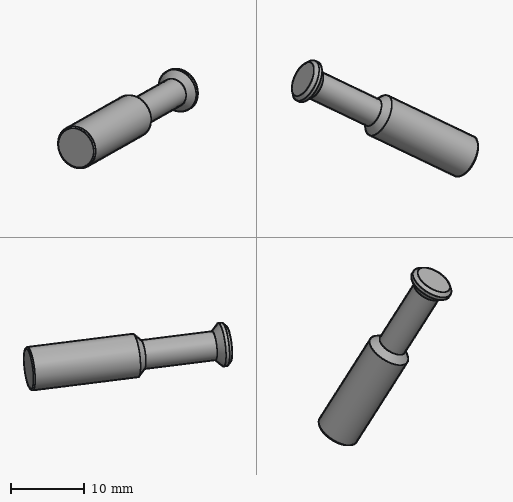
import cadquery as cq

body_diameter = 6.0
neck_diameter = 4.0
body_length = 15.0
neck_length = 10.0
overall_length = 28.0

body_end_chamfer = 0.2
head_end_chamfer = 0.5

body_radius = body_diameter / 2
neck_radius = neck_diameter / 2
shoulder_length = body_radius - neck_radius

neck_start = body_length + shoulder_length
neck_end = neck_start + neck_length
head_start = neck_end + shoulder_length


def make_pin():
    """Revolve the half profile (radius along X) around the Y axis."""
    profile = [
        (0, 0),
        (body_radius - body_end_chamfer, 0),
        (body_radius, body_end_chamfer),
        (body_radius, body_length),
        (neck_radius, neck_start),
        (neck_radius, neck_end),
        (body_radius, head_start),
        (body_radius, overall_length - head_end_chamfer),
        (body_radius - head_end_chamfer, overall_length),
        (0, overall_length),
    ]
    axis_start = (0, 0, 0)
    axis_end = (0, 1, 0)
    return cq.Workplane("XY").polyline(profile).close().revolve(360, axis_start, axis_end)


result = make_pin()